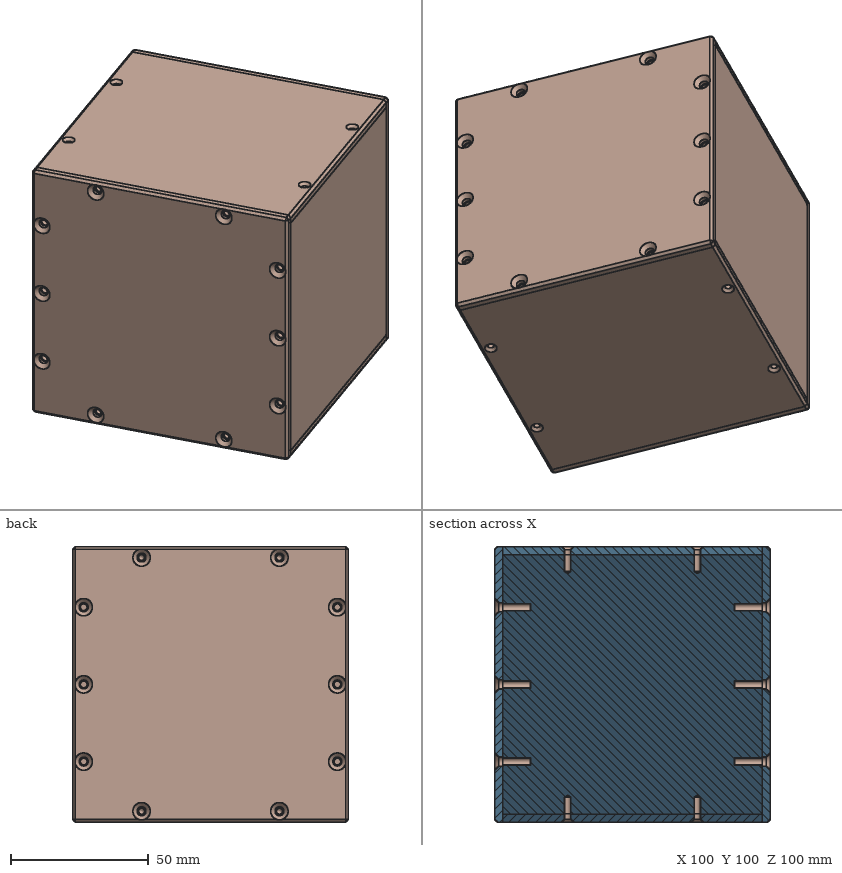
import cadquery as cq
import math

cube_size = 100.0
edge_chamfer = 1.0
half_size = cube_size / 2

wall_thickness = 8.0
skin_thickness = 3.0
cavity_half = half_size - wall_thickness
under_cover_half = half_size - skin_thickness
screw_line = half_size - wall_thickness / 2

cover_hole_diameter = 3.2
cover_sink_diameter = 6.3
lid_screw_x = 25.0
wall_screw_pitch = 28.0
lid_tap_diameter = 2.2
wall_tap_diameter = 2.46
cover_tap_depth = 10.0

lid_hole_diameter = 2.2
lid_sink_diameter = 4.4
lid_screw_y = 23.5
lid_screw_tap_diameter = 2.2
lid_screw_tap_depth = 6.0

sink_angle = 90.0
drill_tip_angle = 118.0

both_ends = (-1, 1)
lid_screws = [(x * lid_screw_x, z * screw_line) for x in both_ends for z in both_ends]
wall_screws = [(x * screw_line, z * wall_screw_pitch) for x in both_ends for z in (-1, 0, 1)]
lid_to_wall_screws = [(x * screw_line, y * lid_screw_y) for x in both_ends for y in both_ends]

outer_shape = cq.Workplane("XY").box(cube_size, cube_size, cube_size).edges().chamfer(edge_chamfer)


def box_between(low, high):
    """Box spanning two opposite corners."""
    size = [b - a for a, b in zip(low, high)]
    return cq.Workplane("XY").box(*size, centered=False).translate(low)


def cone_height(diameter, angle):
    """Height of a cone with the given base diameter and full tip angle."""
    return diameter / 2 / math.tan(math.radians(angle / 2))


def round_cutter(profile, point, direction):
    """Solid of revolution of (radius, depth) points, sunk from `point` along the Y or Z `direction`."""
    axis_plane = cq.Plane(origin=point, xDir=(1, 0, 0), normal=direction)
    spin = cq.Workplane("XZ").polyline(profile).close().revolve(360, (0, 0, 0), (0, 1, 0))
    return cq.Workplane(spin.val().moved(cq.Location(axis_plane)))


def countersink_cutter(hole, sink, point, direction):
    """Countersunk clearance hole through one skin thickness."""
    sink_depth = cone_height(sink, sink_angle) - cone_height(hole, sink_angle)
    profile = [
        (0, 0),
        (sink / 2, 0),
        (hole / 2, sink_depth),
        (hole / 2, skin_thickness),
        (0, skin_thickness),
    ]
    return round_cutter(profile, point, direction)


def tap_cutter(diameter, depth, tip, point, direction):
    """Blind screw hole, ending in a cone of height `tip`, or flat when `tip` is zero."""
    profile = [(0, 0), (diameter / 2, 0), (diameter / 2, depth), (0, depth + tip)]
    return round_cutter(profile, point, direction)


def make_cover(end):
    """Square cover plate over one Y end."""
    y_low, y_high = sorted((end * under_cover_half, end * half_size))
    cover = box_between((-half_size, y_low, -half_size), (half_size, y_high, half_size))
    cover = cover.intersect(outer_shape)
    for x, z in lid_screws + wall_screws:
        point = (x, end * half_size, z)
        cover = cover.cut(countersink_cutter(cover_hole_diameter, cover_sink_diameter, point, (0, -end, 0)))
    return cover


def make_lid(end):
    """Plate over one Z end: a thin full-width skin with a thicker core between the side walls."""
    low, high = sorted((end * under_cover_half, end * half_size))
    lid = box_between((-half_size, -under_cover_half, low), (half_size, under_cover_half, high))
    low, high = sorted((end * cavity_half, end * half_size))
    core = box_between((-cavity_half, -under_cover_half, low), (cavity_half, under_cover_half, high))
    lid = lid.union(core)
    lid = lid.intersect(outer_shape)
    for x, y in lid_to_wall_screws:
        point = (x, y, end * half_size)
        lid = lid.cut(countersink_cutter(lid_hole_diameter, lid_sink_diameter, point, (0, 0, -end)))
    tip = cone_height(lid_tap_diameter, drill_tip_angle)
    for x, z in lid_screws:
        if z * end < 0:
            continue
        for y_end in both_ends:
            point = (x, y_end * under_cover_half, z)
            lid = lid.cut(tap_cutter(lid_tap_diameter, cover_tap_depth, tip, point, (0, -y_end, 0)))
    return lid


def make_wall(end):
    """Side wall at one X end, between the lids and the covers."""
    low, high = sorted((end * cavity_half, end * half_size))
    wall = box_between(
        (low, -under_cover_half, -under_cover_half),
        (high, under_cover_half, under_cover_half),
    )
    wall = wall.intersect(outer_shape)
    for x, z in wall_screws:
        if x * end < 0:
            continue
        for y_end in both_ends:
            point = (x, y_end * under_cover_half, z)
            wall = wall.cut(tap_cutter(wall_tap_diameter, cover_tap_depth, 0, point, (0, -y_end, 0)))
    tip = cone_height(lid_screw_tap_diameter, drill_tip_angle)
    for x, y in lid_to_wall_screws:
        if x * end < 0:
            continue
        for z_end in both_ends:
            point = (x, y, z_end * under_cover_half)
            tap = tap_cutter(lid_screw_tap_diameter, lid_screw_tap_depth, tip, point, (0, 0, -z_end))
            wall = wall.cut(tap)
    return wall


covers = [make_cover(end) for end in both_ends]
lids = [make_lid(end) for end in both_ends]
walls = [make_wall(end) for end in both_ends]

result = cq.Compound.makeCompound([body.val() for body in covers + lids + walls])